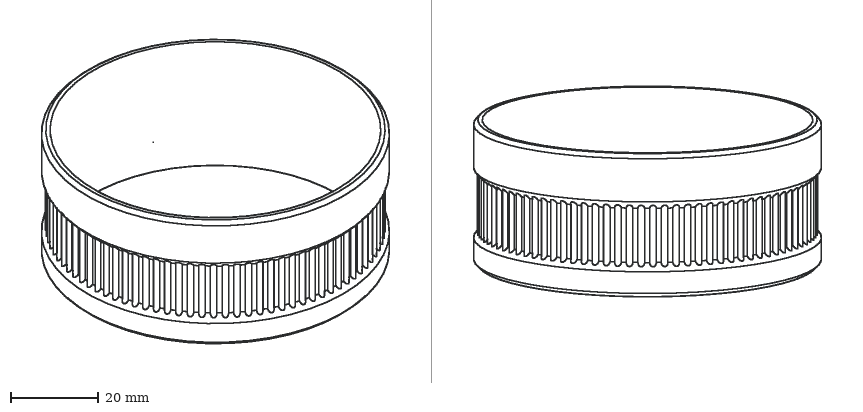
import cadquery as cq

outer_radius = 39.95
wall = 2.0
bore_radius = outer_radius - wall
height = 33.55
edge_chamfer = wall / 2

lower_collar_height = 6.1
upper_collar_height = 11.1
groove_floor_radius = 38.3
groove_flank_height = 1.8
groove_bottom = lower_collar_height
groove_top = height - upper_collar_height

rib_count = 90
rib_start_angle = -0.3
rib_radius = 0.76


def make_blank():
    """Solid disc turned from a half profile, with end chamfers and the groove."""
    chamfered_radius = outer_radius - edge_chamfer
    profile = [
        (0, 0),
        (chamfered_radius, 0),
        (outer_radius, edge_chamfer),
        (outer_radius, groove_bottom),
        (groove_floor_radius, groove_bottom + groove_flank_height),
        (groove_floor_radius, groove_top - groove_flank_height),
        (outer_radius, groove_top),
        (outer_radius, height - edge_chamfer),
        (chamfered_radius, height),
        (0, height),
    ]
    return cq.Workplane("XZ").polyline(profile).close().revolve(360, (0, 0), (0, 1))


def make_ribs():
    """Upright rods centred on the groove floor; their ends are buried in the collars."""
    return (
        cq.Workplane("XY", origin=(0, 0, groove_bottom))
        .polarArray(groove_floor_radius, rib_start_angle, 360, rib_count)
        .circle(rib_radius)
        .extrude(groove_top - groove_bottom)
    )


def make_bore():
    """Plain through bore, which also trims the inner side of the rods."""
    return cq.Workplane("XY").circle(bore_radius).extrude(height)


result = make_blank().union(make_ribs()).cut(make_bore())